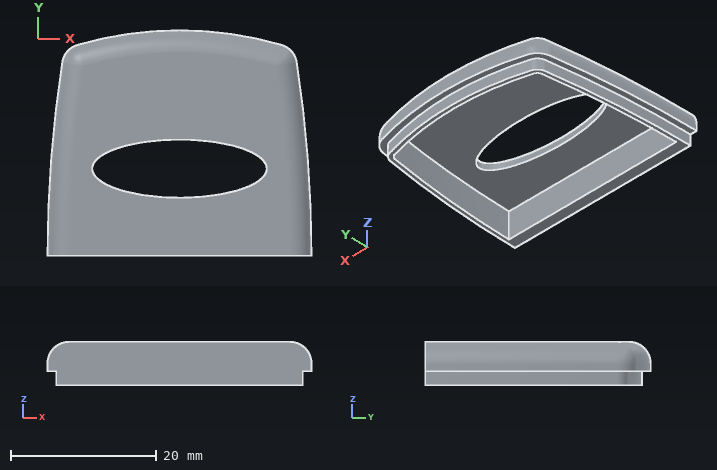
import cadquery as cq
import math

width = 36.4
depth = 31.07
height = 6.0

side_radius = 175.0
back_radius = 50.0
round_radius = 3.0

step_inset = 1.2
step_height = 1.9

wall = 2.0
top_thickness = 1.2

window_length = 24.0
window_width = 8.0
window_y = 12.0


def outline(inset, front_y):
    """Closed outline set in from the outer one, with sharp back corners and a front edge at front_y."""
    side_r = side_radius - inset
    back_r = back_radius - inset
    side_centre_x = width / 2 - side_radius
    back_centre_y = depth - back_radius

    def side_x(y):
        return side_centre_x + math.sqrt(side_r**2 - y**2)

    centre_distance = math.hypot(side_centre_x, back_centre_y)
    angle_to_side_centre = math.atan2(-back_centre_y, side_centre_x)
    angle_between = math.acos(
        (back_r**2 + centre_distance**2 - side_r**2) / (2 * back_r * centre_distance)
    )
    corner_angle = angle_to_side_centre - angle_between
    corner_x = back_r * math.cos(corner_angle)
    corner_y = back_centre_y + back_r * math.sin(corner_angle)

    front_x = side_x(front_y)
    side_mid_y = (front_y + corner_y) / 2
    side_mid_x = side_x(side_mid_y)

    return (
        cq.Workplane("XY")
        .moveTo(-front_x, front_y)
        .lineTo(front_x, front_y)
        .threePointArc((side_mid_x, side_mid_y), (corner_x, corner_y))
        .threePointArc((0, depth - inset), (-corner_x, corner_y))
        .threePointArc((-side_mid_x, side_mid_y), (-front_x, front_y))
        .close()
    )


def inset_block(inset, front_y, block_height):
    """Block standing on Z = 0 whose back corners stay concentric with the outer ones."""
    block = outline(inset, front_y).extrude(block_height)
    return block.edges("|Z and (not <Y)").fillet(round_radius - inset)


def rounded_upper_body():
    """Upper body with its back corners and its side and back top edges rounded by one radius."""
    body = outline(0, 0).extrude(height - step_height).translate((0, 0, step_height))
    return body.edges("(|Z or >Z) and (not <Y)").fillet(round_radius)


def window():
    """Elliptical cutter through the full height."""
    return (
        cq.Workplane("XY")
        .center(0, window_y)
        .ellipse(window_length / 2, window_width / 2)
        .extrude(height)
    )


lower_band = inset_block(step_inset, 0, step_height)
cavity = inset_block(wall, wall, height - top_thickness)

result = rounded_upper_body().union(lower_band).cut(cavity).cut(window())